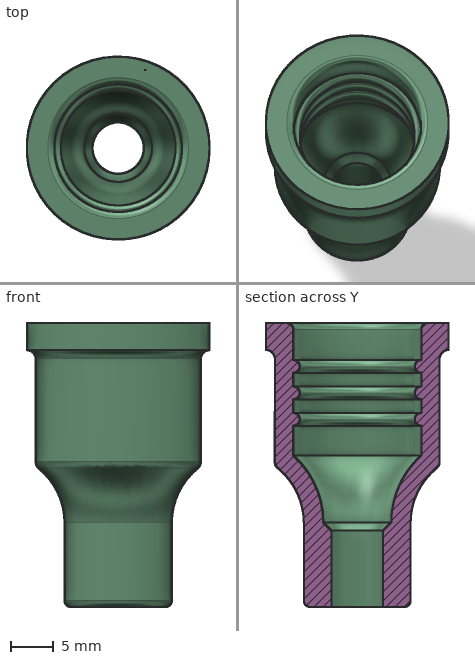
import cadquery as cq
import math

height = 33.27
flange_radius = 10.7
flange_height = 3.2
flange_fillet = 1.0
body_radius = 9.68
stem_radius = 6.3
stem_height = 9.9
flare_radius = 8.2
shoulder_fillet = 1.0
foot_fillet = 0.8

bore_radius = 7.5
round_radius = 0.75
rib_count = 3
first_rib_depth = 5.1
rib_pitch = 3.1

outlet_radius = 3.0
throat_radius = 3.95
countersink_height = throat_radius - outlet_radius

flare_center_r = stem_radius + flare_radius


def flare_end_angle(end_radius, arc_radius):
    """Angle on a flare arc where it reaches the given distance from the axis."""
    return math.degrees(math.acos((end_radius - flare_center_r) / arc_radius))


def arc_point(center_r, center_z, radius, degrees):
    """Point on an arc in the radius-height plane."""
    angle = math.radians(degrees)
    return center_r + radius * math.cos(angle), center_z + radius * math.sin(angle)


def outer_body():
    """Flanged body with a concave flare down to the stem."""
    flare_end = flare_end_angle(body_radius, flare_radius)
    flare_middle = (180 + flare_end) / 2
    flange_bottom = height - flange_height
    profile = (
        cq.Workplane("XZ")
        .lineTo(stem_radius, 0)
        .lineTo(stem_radius, stem_height)
        .threePointArc(
            arc_point(flare_center_r, stem_height, flare_radius, flare_middle),
            arc_point(flare_center_r, stem_height, flare_radius, flare_end),
        )
        .lineTo(body_radius, flange_bottom - flange_fillet)
        .radiusArc((body_radius + flange_fillet, flange_bottom), flange_fillet)
        .lineTo(flange_radius, flange_bottom)
        .lineTo(flange_radius, height)
        .lineTo(0, height)
        .close()
    )
    shoulder_z = stem_height + flare_radius * math.sin(math.radians(flare_end))
    shoulder = cq.selectors.BoxSelector(
        (-flange_radius, -flange_radius, shoulder_z - 0.33),
        (flange_radius, flange_radius, shoulder_z + 0.33),
    )
    body = profile.revolve(360, (0, 0, 0), (0, 1, 0))
    body = body.edges(shoulder).fillet(shoulder_fillet)
    return body.faces("<Z").edges().fillet(foot_fillet)


def cavity():
    """Space inside the part: rounded mouth, ribbed bore, trumpet and outlet."""
    mouth_radius = bore_radius + round_radius
    trumpet_radius = flare_center_r - throat_radius
    trumpet_start = flare_end_angle(bore_radius, trumpet_radius)
    trumpet_middle = (180 + trumpet_start) / 2
    profile = (
        cq.Workplane("XZ")
        .moveTo(0, height)
        .lineTo(mouth_radius, height)
        .threePointArc(
            arc_point(mouth_radius, height - round_radius, round_radius, 135),
            (bore_radius, height - round_radius),
        )
    )
    for index in range(rib_count):
        rib_z = height - first_rib_depth - index * rib_pitch
        profile = (
            profile.lineTo(bore_radius, rib_z + round_radius)
            .radiusArc((bore_radius - round_radius, rib_z), -round_radius)
            .radiusArc((bore_radius, rib_z - round_radius), -round_radius)
        )
    return (
        profile.lineTo(*arc_point(flare_center_r, stem_height, trumpet_radius, trumpet_start))
        .threePointArc(
            arc_point(flare_center_r, stem_height, trumpet_radius, trumpet_middle),
            (throat_radius, stem_height),
        )
        .lineTo(outlet_radius, stem_height - countersink_height)
        .lineTo(outlet_radius, 0)
        .lineTo(0, 0)
        .close()
        .revolve(360, (0, 0, 0), (0, 1, 0))
    )


result = outer_body().cut(cavity())